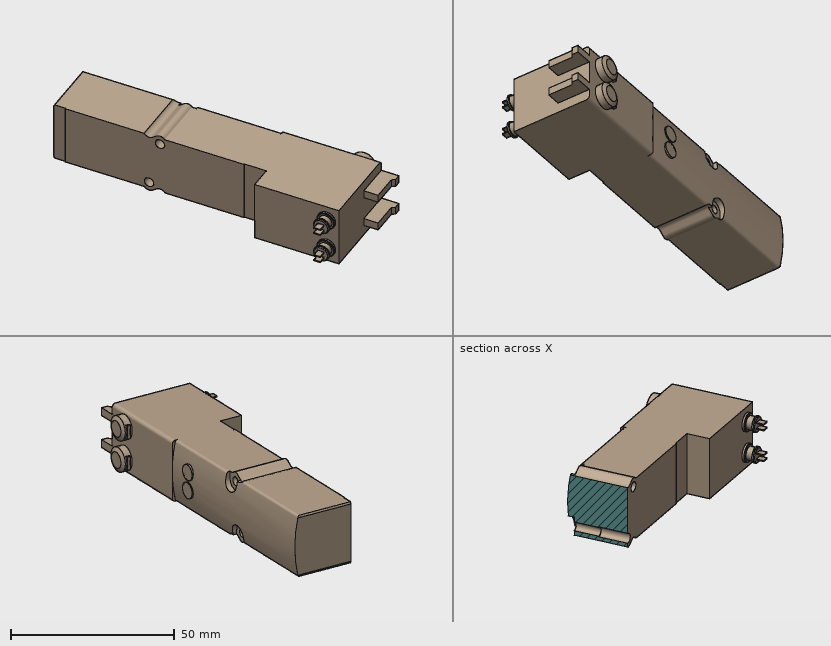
import cadquery as cq
import math

TOTAL_LENGTH = 108.5
TOTAL_DEPTH = 38.19

BODY_HEIGHT = 20.5
BODY_TOP_Y = 20.86
BODY_END_X = 102.45
RAISED_START_X = 4.05
RAISED_END_X = 65.85
STEP_DEPTH = 0.25
CROWN_END_X = 68.75
CROWN_RADIUS = 43.0
CROWN_CORNER_RADIUS = 0.9
BLOCK_CORNER_RADIUS = 1.2
END_BEVEL_X = 0.3
END_BEVEL_Z = 0.65
BLOCK_START_X = 73.37
BLOCK_BOTTOM_Y = -7.55

RIB_HEIGHT = 22.09
HOLE_AXIS_X = 34.95
HOLE_OFFSET_X = 1.88
HOLE_OFFSET_Z = 8.0
HOLE_DIAMETER = 2.8
HOLE_MOUTH_DIAMETER = 3.2
HOLE_MOUTH_DEPTH = 10.0
COUNTERBORE_DIAMETER = 6.1
COUNTERBORE_FLOOR_Y = 18.55
RIB_RADIUS = 2.1
RIB_FOOT_RADIUS = 0.4
GROOVE_FLOOR_Z = 9.33

OVERRIDE_X = 59.8
OVERRIDE_OFFSET_Z = 3.0
OVERRIDE_DIAMETER = 5.3
OVERRIDE_HEIGHT = 0.35

PORT_OFFSET_Z = 5.23

BUTTON_X = 95.26
BUTTON_DIAMETER = 8.1
BUTTON_TOP_DIAMETER = 5.3
BUTTON_TOP_Y = 24.1
BUTTON_BEVEL_HEIGHT = 0.7
BUTTON_TAB_WIDTH = 4.4
BUTTON_TAB_LIFT = 0.3
BUTTON_TAB_Y = 21.65
BUTTON_TAB_HEIGHT = 1.2

PLUG_X = 98.25
PLUG_SEAT_DIAMETER = 6.1
PLUG_SEAT_THICKNESS = 0.95
PLUG_SEAT_CHAMFER = 0.25
PLUG_NECK_DIAMETER = 4.5
PLUG_NECK_LENGTH = 2.2
PLUG_HEAD_DIAMETER = 5.3
PLUG_HEAD_THICKNESS = 0.85
PLUG_HEAD_CHAMFER = 0.3
BLADE_WIDTH = 2.3
BLADE_THICKNESS = 0.35
BLADE_OFFSET_Z = 0.98

HOOK_OFFSET_Z = 5.35
HOOK_WIDTH = 2.65
HOOK_FOOT_X = 107.4
HOOK_FOOT_Y = 9.1
HOOK_TIP_Y = 18.7
HOOK_SLOPE_Y = 17.9

HALF_HEIGHT = BODY_HEIGHT / 2
CROWN_EDGE_Y = BODY_TOP_Y - CROWN_RADIUS + math.sqrt(CROWN_RADIUS**2 - HALF_HEIGHT**2)
BLADE_TIP_Y = BUTTON_TOP_Y - TOTAL_DEPTH
JOIN = 1.0


def box(x0, x1, y0, y1, z0, z1):
    """Box between two opposite corners."""
    return cq.Workplane("XY").box(x1 - x0, y1 - y0, z1 - z0, centered=False).translate((x0, y0, z0))


def disc(diameter, x, z, y0, y1):
    """Cylinder along Y between two Y levels."""
    axis = cq.Vector(0, 1, 0)
    return cq.Workplane(cq.Solid.makeCylinder(diameter / 2, y1 - y0, cq.Vector(x, y0, z), axis))


def main_body():
    """Valve and connector block at full height, with all +Y edges still sharp."""
    plan = [
        (0, STEP_DEPTH),
        (RAISED_START_X, STEP_DEPTH),
        (RAISED_START_X, 0),
        (RAISED_END_X, 0),
        (RAISED_END_X, STEP_DEPTH),
        (BLOCK_START_X, STEP_DEPTH),
        (BLOCK_START_X, BLOCK_BOTTOM_Y),
        (BODY_END_X, BLOCK_BOTTOM_Y),
        (BODY_END_X, BODY_TOP_Y),
        (0, BODY_TOP_Y),
    ]
    return cq.Workplane("XY").polyline(plan).close().extrude(HALF_HEIGHT, both=True)


def crowned_envelope():
    """Space the valve may fill: a crowned +Y face with rounded corners."""
    envelope = (
        cq.Workplane("YZ")
        .moveTo(BLOCK_BOTTOM_Y, -HALF_HEIGHT)
        .lineTo(CROWN_EDGE_Y, -HALF_HEIGHT)
        .threePointArc((BODY_TOP_Y, 0), (CROWN_EDGE_Y, HALF_HEIGHT))
        .lineTo(BLOCK_BOTTOM_Y, HALF_HEIGHT)
        .close()
        .extrude(CROWN_END_X)
    )
    corners = cq.selectors.BoxSelector(
        (0, CROWN_EDGE_Y - CROWN_CORNER_RADIUS, -BODY_HEIGHT),
        (CROWN_END_X, CROWN_EDGE_Y + CROWN_CORNER_RADIUS, BODY_HEIGHT),
    )
    return envelope.edges("|X").edges(corners).fillet(CROWN_CORNER_RADIUS)


def flat_envelope():
    """Space the connector block may fill: a flat +Y face with rounded corners."""
    envelope = box(CROWN_END_X, BODY_END_X, BLOCK_BOTTOM_Y, BODY_TOP_Y, -HALF_HEIGHT, HALF_HEIGHT)
    return envelope.edges("|X and >Y").fillet(BLOCK_CORNER_RADIUS)


def end_bevel():
    """Wedge that bevels the edge between the X = 0 end and the +Z side."""
    outline = [
        (0, HALF_HEIGHT),
        (END_BEVEL_X, HALF_HEIGHT),
        (0, HALF_HEIGHT - END_BEVEL_Z),
    ]
    return cq.Workplane("XZ").polyline(outline).close().extrude(-BODY_TOP_Y)


def flank_groove_and_rib():
    """Groove cutter and rib of the +Z side: equal radii joined by their common tangent."""
    groove_x = HOLE_AXIS_X - HOLE_OFFSET_X
    groove_z = GROOVE_FLOOR_Z + RIB_RADIUS
    rib_x = HOLE_AXIS_X + HOLE_OFFSET_X
    rib_z = RIB_HEIGHT / 2 - RIB_RADIUS

    run = groove_x - rib_x
    rise = groove_z - rib_z
    tangent_angle = math.atan2(rise, run) - math.acos(2 * RIB_RADIUS / math.hypot(run, rise))
    step_x = RIB_RADIUS * math.cos(tangent_angle)
    step_z = RIB_RADIUS * math.sin(tangent_angle)
    groove_tangent = (groove_x - step_x, groove_z - step_z)
    rib_tangent = (rib_x + step_x, rib_z + step_z)

    slope = (rib_tangent[1] - groove_tangent[1]) / (rib_tangent[0] - groove_tangent[0])
    crossing = (groove_tangent[0] + (HALF_HEIGHT - groove_tangent[1]) / slope, HALF_HEIGHT)
    groove_start = (groove_x - math.sqrt(RIB_RADIUS**2 - (groove_z - HALF_HEIGHT) ** 2), HALF_HEIGHT)

    foot_rise = HALF_HEIGHT + RIB_FOOT_RADIUS - rib_z
    foot_run = math.sqrt((RIB_RADIUS + RIB_FOOT_RADIUS) ** 2 - foot_rise**2)
    foot_angle = math.atan2(foot_rise, foot_run)
    foot_top = (rib_x + RIB_RADIUS * math.cos(foot_angle), rib_z + RIB_RADIUS * math.sin(foot_angle))
    foot_end = (rib_x + foot_run, HALF_HEIGHT)

    groove = (
        cq.Workplane("XZ")
        .moveTo(*groove_start)
        .threePointArc((groove_x, GROOVE_FLOOR_Z), groove_tangent)
        .lineTo(*crossing)
        .close()
        .extrude(-BODY_TOP_Y)
    )
    rib = (
        cq.Workplane("XZ")
        .moveTo(*crossing)
        .lineTo(*rib_tangent)
        .threePointArc((rib_x, RIB_HEIGHT / 2), foot_top)
        .tangentArcPoint(foot_end, relative=False)
        .close()
        .extrude(-COUNTERBORE_FLOOR_Y)
    )
    return groove, rib


def mounting_hole():
    """Cutter for the +Z mounting hole: wide mouth, bore and a counterbore open to the side."""
    x = HOLE_AXIS_X + HOLE_OFFSET_X
    bore = disc(HOLE_DIAMETER, x, HOLE_OFFSET_Z, 0, BODY_TOP_Y)
    mouth = disc(HOLE_MOUTH_DIAMETER, x, HOLE_OFFSET_Z, 0, HOLE_MOUTH_DEPTH)
    seat = disc(COUNTERBORE_DIAMETER, x, HOLE_OFFSET_Z, COUNTERBORE_FLOOR_Y, BODY_TOP_Y)
    opening = box(
        x - COUNTERBORE_DIAMETER / 2,
        x + COUNTERBORE_DIAMETER / 2,
        COUNTERBORE_FLOOR_Y,
        BODY_TOP_Y,
        HOLE_OFFSET_Z,
        RIB_HEIGHT / 2,
    )
    return bore.union(mouth).union(seat).union(opening)


def half_turn(piece):
    """The piece turned half round the valve's axis of symmetry, parallel to Y."""
    return piece.rotate((HOLE_AXIS_X, 0, 0), (HOLE_AXIS_X, 1, 0), 180)


def button(z):
    """Button on the +Y face, with a bevelled top and a small tab towards -X."""
    bevel = (BUTTON_DIAMETER - BUTTON_TOP_DIAMETER) / 2
    knob = disc(BUTTON_DIAMETER, BUTTON_X, z, BODY_TOP_Y - JOIN, BUTTON_TOP_Y)
    knob = knob.faces(">Y").chamfer(BUTTON_BEVEL_HEIGHT, bevel)
    tab = box(
        BUTTON_X - BUTTON_DIAMETER / 2 - BUTTON_TAB_LIFT,
        BUTTON_X,
        BUTTON_TAB_Y,
        BUTTON_TAB_Y + BUTTON_TAB_HEIGHT,
        z - BUTTON_TAB_WIDTH / 2,
        z + BUTTON_TAB_WIDTH / 2,
    )
    return knob.union(tab)


def plug(z):
    """Plug below the connector block: seat, neck, head and two contact blades."""
    seat_y = BLOCK_BOTTOM_Y - PLUG_SEAT_THICKNESS
    neck_y = seat_y - PLUG_NECK_LENGTH
    head_y = neck_y - PLUG_HEAD_THICKNESS
    seat = disc(PLUG_SEAT_DIAMETER, PLUG_X, z, seat_y, BLOCK_BOTTOM_Y + JOIN)
    seat = seat.faces("<Y").chamfer(PLUG_SEAT_CHAMFER)
    neck = disc(PLUG_NECK_DIAMETER, PLUG_X, z, neck_y, seat_y)
    head = disc(PLUG_HEAD_DIAMETER, PLUG_X, z, head_y, neck_y)
    solid = seat.union(neck).union(head.faces("<Y").chamfer(PLUG_HEAD_CHAMFER))
    for side in (-1, 1):
        blade_z = z + side * BLADE_OFFSET_Z
        blade = box(
            PLUG_X - BLADE_WIDTH / 2,
            PLUG_X + BLADE_WIDTH / 2,
            BLADE_TIP_Y,
            neck_y,
            blade_z - BLADE_THICKNESS / 2,
            blade_z + BLADE_THICKNESS / 2,
        )
        solid = solid.union(blade)
    return solid


def hook(z):
    """Latching hook on the +X end, centred on the given Z."""
    outline = [
        (BODY_END_X - JOIN, HOOK_FOOT_Y),
        (HOOK_FOOT_X, HOOK_FOOT_Y),
        (HOOK_FOOT_X, HOOK_SLOPE_Y),
        (TOTAL_LENGTH, HOOK_TIP_Y),
        (TOTAL_LENGTH, BODY_TOP_Y),
        (BODY_END_X - JOIN, BODY_TOP_Y),
    ]
    arm = cq.Workplane("XY").polyline(outline).close().extrude(HOOK_WIDTH / 2, both=True)
    return arm.translate((0, 0, z))


result = main_body().intersect(crowned_envelope().union(flat_envelope()))

bevel_wedge = end_bevel()
result = result.cut(bevel_wedge).cut(bevel_wedge.mirror("XY"))

groove_cutter, flank_rib = flank_groove_and_rib()
hole_cutter = mounting_hole()
result = result.cut(groove_cutter).cut(half_turn(groove_cutter))
result = result.union(flank_rib).union(half_turn(flank_rib))
result = result.cut(hole_cutter).cut(half_turn(hole_cutter))

for side in (-1, 1):
    override = disc(
        OVERRIDE_DIAMETER,
        OVERRIDE_X,
        side * OVERRIDE_OFFSET_Z,
        BODY_TOP_Y - JOIN,
        BODY_TOP_Y + OVERRIDE_HEIGHT,
    )
    result = result.union(override)
    result = result.union(button(side * PORT_OFFSET_Z))
    result = result.union(plug(side * PORT_OFFSET_Z))
    result = result.union(hook(side * HOOK_OFFSET_Z))